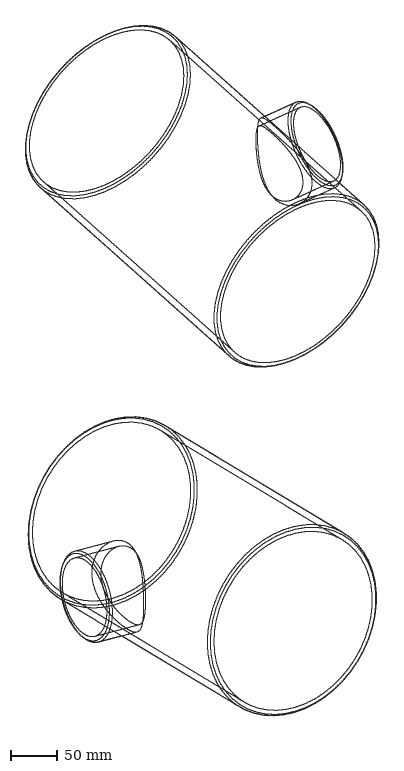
import cadquery as cq

run_length = 355.6
run_diameter = 219.075
wall = 7.04
branch_diameter = 101.6
branch_reach = 152.4
end_chamfer = 2.35

run_bore_diameter = run_diameter - 2 * wall
branch_bore_diameter = branch_diameter - 2 * wall


def run_cylinder(diameter):
    """Solid cylinder along X over the full run length, centred on the origin."""
    return cq.Workplane("YZ").circle(diameter / 2).extrude(run_length / 2, both=True)


def branch_cylinder(diameter):
    """Solid cylinder along +Y from the run axis to the branch end face."""
    return cq.Workplane("XZ").circle(diameter / 2).extrude(-branch_reach)


def outer_body():
    """Both pipes filled solid, with their open ends chamfered."""
    run = run_cylinder(run_diameter).faces("<X or >X").edges().chamfer(end_chamfer)
    branch = branch_cylinder(branch_diameter).faces(">Y").edges().chamfer(end_chamfer)
    return run.union(branch)


def bores():
    """The joined inner passages of the two pipes."""
    return run_cylinder(run_bore_diameter).union(branch_cylinder(branch_bore_diameter))


result = outer_body().cut(bores())